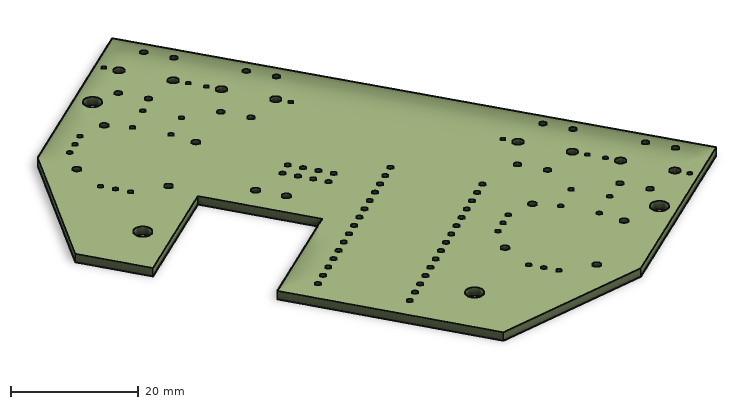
import cadquery as cq

board_width = 100.0
board_thickness = 1.6
right_height = 61.5
left_height = 61.0
bottom_width = 71.0
shoulder_height = 24.5

notch_left = -22.6
notch_right = -2.0
notch_depth = 22.0

mount_diameter = 3.0
upper_mount_x = 47.0
upper_mount_y = 42.5
lower_mount_x = 27.5
lower_mount_y = 9.5

switch_inner_x = 24.5
switch_pitch = 17.0
left_switch_y = 52.5
right_switch_y = left_switch_y + (right_height - left_height)
switch_pin_diameter = 1.2
switch_pin_spacing_x = 5.0
switch_pin_spacing_y = 12.5
switch_post_diameter = 1.8
switch_post_spacing = 9.0
switch_peg_diameter = 0.8
switch_peg_spacing = 14.0

joystick_x = 35.5
joystick_y = 30.0
frame_diameter = 1.4
frame_spacing_x = 15.2
frame_spacing_y = 13.4
button_diameter = 0.9
button_spacing_x = 6.4
button_spacing_y = 5.1
button_offset = 10.1
sensor_diameter = 0.89
sensor_pin_pitch = 2.5
sensor_pins = 3
sensor_offset = 10.2

inch = 25.4
pin_pitch = inch / 10

module_pin_diameter = 1.0
module_pins = 15
module_row_spacing = 6 * pin_pitch
module_x = 11.0
module_y = 21.8

header_pin_diameter = 1.0
header_columns = 4
header_rows = 2
header_x = -8.3
header_y = 33.8

terminal_diameter = 1.5
terminal_spacing = 2 * pin_pitch
terminal_x = -12.0
terminal_y = 26.5


def grid(x, y, columns, rows, spacing_x, spacing_y):
    """Points of a rectangular grid centred on (x, y)."""
    points = []
    for column in range(columns):
        for row in range(rows):
            point_x = x + (column - (columns - 1) / 2) * spacing_x
            point_y = y + (row - (rows - 1) / 2) * spacing_y
            points.append((point_x, point_y))
    return points


def drill(board, points, diameter):
    """Cut round through-holes at the given points."""
    drills = cq.Workplane("XY").pushPoints(points).circle(diameter / 2).extrude(board_thickness)
    return board.cut(drills)


def make_board():
    """Flat plate with slanted lower corners and a notch in the bottom edge."""
    outline = [
        (-board_width / 2, left_height),
        (-board_width / 2, shoulder_height),
        (-bottom_width / 2, 0),
        (notch_left, 0),
        (notch_left, notch_depth),
        (notch_right, notch_depth),
        (notch_right, 0),
        (bottom_width / 2, 0),
        (board_width / 2, shoulder_height),
        (board_width / 2, right_height),
    ]
    return cq.Workplane("XY").polyline(outline).close().extrude(board_thickness)


def drill_mounts(board):
    points = []
    for side in (-1, 1):
        points.append((side * upper_mount_x, upper_mount_y))
        points.append((side * lower_mount_x, lower_mount_y))
    return drill(board, points, mount_diameter)


def drill_switch(board, x, y):
    """Four contact pins around a line of two posts and two small pegs."""
    pins = grid(x, y, 2, 2, switch_pin_spacing_x, switch_pin_spacing_y)
    posts = grid(x, y, 2, 1, switch_post_spacing, 0)
    pegs = grid(x, y, 2, 1, switch_peg_spacing, 0)
    board = drill(board, pins, switch_pin_diameter)
    board = drill(board, posts, switch_post_diameter)
    return drill(board, pegs, switch_peg_diameter)


def drill_joystick(board, x, y):
    """Four frame pins, a push button above, and sensors on the left and below."""
    frame = grid(x, y, 2, 2, frame_spacing_x, frame_spacing_y)
    button = grid(x, y + button_offset, 2, 2, button_spacing_x, button_spacing_y)
    left_sensor = grid(x - sensor_offset, y, 1, sensor_pins, 0, sensor_pin_pitch)
    lower_sensor = grid(x, y - sensor_offset, sensor_pins, 1, sensor_pin_pitch, 0)
    board = drill(board, frame, frame_diameter)
    board = drill(board, button, button_diameter)
    return drill(board, left_sensor + lower_sensor, sensor_diameter)


result = drill_mounts(make_board())

for side, switch_y in ((-1, left_switch_y), (1, right_switch_y)):
    for index in range(2):
        switch_x = side * (switch_inner_x + index * switch_pitch)
        result = drill_switch(result, switch_x, switch_y)
    result = drill_joystick(result, side * joystick_x, joystick_y)

module_points = grid(module_x, module_y, 2, module_pins, module_row_spacing, pin_pitch)
result = drill(result, module_points, module_pin_diameter)

header_points = grid(header_x, header_y, header_columns, header_rows, pin_pitch, pin_pitch)
result = drill(result, header_points, header_pin_diameter)

terminal_points = grid(terminal_x, terminal_y, 2, 1, terminal_spacing, 0)
result = drill(result, terminal_points, terminal_diameter)